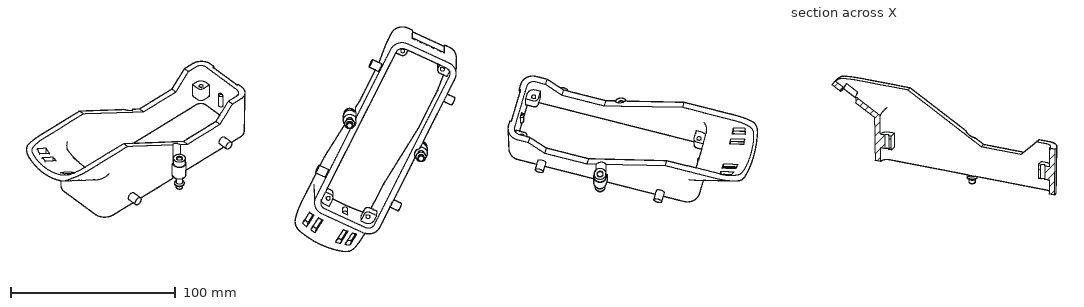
import cadquery as cq
import math

half_width = 21.7
half_length = 60.5
wall = 3.6
corner_radius = 7.7
end_draft = 1.0
inner_draft = 0.5
crease_z = 9.2
top_z = 49.1
low_rim_z = 31.0
saddle_z = 20.6
saddle_back_y = 35.5
saddle_front_y = 8.9

hood_angle = 30.0
tip_y = -90.1
tip_z = 43.1
hood_length = 45.2
hood_depth = 33.1
belly_radius = 39.5
belly_half_width = 13.9
inner_belly_half_width = 13.4
lip_radius = 5.1

slot_width = 3.0
slot_offsets = (8.5, 14.5)
slot_back_y = -73.0
slot_end_gap = 6.8
slot_height = 18.1

peg_radius = 2.5
peg_y = 37.4
peg_z = 6.3
peg_reach = 27.9

post_x = 24.1
sleeve_radius = 3.9
sleeve_bottom_z = 2.5
sleeve_top_z = 12.2
collar_radius = 3.6
collar_top_z = 16.3
socket_radius = 1.8
socket_depth = 0.9
rod_radius = 2.0
rod_bottom_z = -7.8
rod_chamfer = 0.38
bead_radius = 3.0
bead_z = -4.2
bead_flat = 0.5
bead_height = 2.1

boss_inner_x = 10.7
boss_inner_y = 49.1
boss_height = 9.3
boss_radius = 2.4
screw_x = 13.4
screw_y = 52.1
screw_radius = 1.2

rib_radius = 1.7
rib_chamfer = 0.9

recess_width = 21.7
recess_depth = 0.9
recess_height = 15.0

foot_half_length = half_length - low_rim_z * math.tan(math.radians(end_draft))
embed = wall / 2


def cylinder(radius, x, y, bottom, top):
    return cq.Workplane("XY", origin=(x, y, bottom)).circle(radius).extrude(top - bottom)


def side_prism(points, reach):
    """Prism of a Y-Z outline, spanning X from -reach to +reach."""
    return cq.Workplane("YZ").polyline(points).close().extrude(reach, both=True)


def frame_block():
    flare = top_z * math.tan(math.radians(end_draft))
    outline = [
        (-foot_half_length, 0),
        (foot_half_length, 0),
        (foot_half_length + flare, top_z),
        (-foot_half_length - flare, top_z),
    ]
    upright_edges = "(not |X) and (not |Y)"
    return side_prism(outline, half_width).edges(upright_edges).fillet(corner_radius)


def frame_cavity():
    """Straight below the crease, opening slightly above it."""
    flare = (low_rim_z - crease_z) * math.tan(math.radians(inner_draft))
    width = 2 * (half_width - wall - flare)
    length = 2 * (foot_half_length - wall)
    inner_radius = corner_radius - wall
    lower = cq.Workplane("XY").rect(width, length).extrude(crease_z).edges("|Z").fillet(inner_radius)
    return lower.faces(">Z").wires().toPending().extrude(top_z - crease_z, taper=-inner_draft)


def hood_plane():
    """Plane square to the hood axis at its tip: local X is X, local Y points up out of the trough."""
    angle = math.radians(hood_angle)
    return cq.Plane(
        origin=(0, tip_y, tip_z),
        xDir=(1, 0, 0),
        normal=(0, -math.cos(angle), math.sin(angle)),
    )


def trough(inset, joint_x):
    """Trough inset from the outer skin, run back from the tip along the hood axis.

    Its belly arc meets the tangent shoulder arcs at X = +-joint_x.
    """
    belly = belly_radius - inset
    side = half_width - inset
    lean = math.asin(joint_x / belly)
    shoulder_radius = (side - joint_x) / (1 - math.sin(lean))
    shoulder_x = side - shoulder_radius
    shoulder_y = belly_radius - (belly - shoulder_radius) * math.cos(lean)
    mid_lean = (lean + math.pi / 2) / 2

    def on_shoulder(angle):
        return (
            shoulder_x + shoulder_radius * math.sin(angle),
            shoulder_y - shoulder_radius * math.cos(angle),
        )

    right_joint = on_shoulder(lean)
    right_mid = on_shoulder(mid_lean)
    section = (
        cq.Workplane(hood_plane())
        .moveTo(-side, hood_depth)
        .lineTo(-side, shoulder_y)
        .threePointArc((-right_mid[0], right_mid[1]), (-right_joint[0], right_joint[1]))
        .threePointArc((0, inset), right_joint)
        .threePointArc(right_mid, (side, shoulder_y))
        .lineTo(side, hood_depth)
        .close()
    )
    return section.extrude(-hood_length)


def rim_envelope():
    """Side outline of the whole shell, with the hood end cut square to the hood axis."""
    back_y = half_length + wall
    ramp_y = saddle_front_y - (top_z - saddle_z) / math.tan(math.radians(hood_angle))
    step_y = saddle_back_y + (low_rim_z - saddle_z)
    lip_y = tip_y + (top_z - tip_z) * math.tan(math.radians(hood_angle))
    outline = [
        (tip_y, 0),
        (back_y, 0),
        (back_y, low_rim_z),
        (step_y, low_rim_z),
        (saddle_back_y, saddle_z),
        (saddle_front_y, saddle_z),
        (ramp_y, top_z),
        (lip_y, top_z),
        (tip_y, tip_z),
    ]
    lip = cq.selectors.NearestToPointSelector((0, lip_y, top_z))
    return side_prism(outline, half_width).edges("|X").edges(lip).fillet(lip_radius)


def vent_slots():
    """Slots with an upright back end and a front end square to the hood."""
    angle = math.radians(hood_angle)
    end_y = tip_y + slot_end_gap * math.cos(angle)
    end_z = tip_z - slot_end_gap * math.sin(angle)
    rise = slot_height / 2
    lean = rise * math.tan(angle)
    outline = [
        (slot_back_y, end_z - rise),
        (end_y - lean, end_z - rise),
        (end_y + lean, end_z + rise),
        (slot_back_y, end_z + rise),
    ]
    cutter = side_prism(outline, slot_width / 2)
    slots = cq.Workplane("XY")
    for offset in slot_offsets:
        for side in (-1, 1):
            slots = slots.add(cutter.translate((side * offset, 0, 0)))
    return slots.combine()


def rim_recess():
    cutter = cq.Workplane("XY").box(recess_width, 2 * recess_depth, 2 * recess_height)
    return cutter.translate((0, half_length, low_rim_z))


def post(side):
    """Socketed sleeve bridged to the frame, on a thin rod with a bead near its foot."""
    x = side * post_x
    sleeve = cylinder(sleeve_radius, x, 0, sleeve_bottom_z, sleeve_top_z)
    bridge_length = post_x - half_width
    bridge_x = side * (half_width + bridge_length / 2)
    bridge = (
        cq.Workplane("XY", origin=(bridge_x, 0, sleeve_bottom_z))
        .rect(bridge_length, 2 * sleeve_radius)
        .extrude(sleeve_top_z - sleeve_bottom_z)
    )
    collar = cylinder(collar_radius, x, 0, sleeve_top_z, collar_top_z)
    socket = cylinder(socket_radius, x, 0, collar_top_z - socket_depth, collar_top_z)
    rod = cylinder(rod_radius, x, 0, rod_bottom_z, sleeve_bottom_z).faces("<Z").chamfer(rod_chamfer)
    bead = (
        cq.Workplane("XZ")
        .polyline([
            (0, bead_z - bead_height / 2),
            (rod_radius, bead_z - bead_height / 2),
            (bead_radius, bead_z - bead_flat / 2),
            (bead_radius, bead_z + bead_flat / 2),
            (rod_radius, bead_z + bead_height / 2),
            (0, bead_z + bead_height / 2),
        ])
        .close()
        .revolve(360, (0, 0), (0, 1))
        .translate((x, 0, 0))
    )
    return sleeve.union(bridge).union(collar).union(rod).union(bead).cut(socket)


def boss(side, end):
    """Drilled corner block reaching into the walls, rounded at its free corner."""
    size_x = half_width - embed - boss_inner_x
    size_y = foot_half_length - embed - boss_inner_y
    block = (
        cq.Workplane("XY")
        .rect(size_x, size_y)
        .extrude(boss_height)
        .edges("|Z and <X and <Y")
        .fillet(boss_radius)
        .translate((boss_inner_x + size_x / 2, boss_inner_y + size_y / 2, crease_z))
    )
    hole = cylinder(screw_radius, screw_x, screw_y, crease_z, crease_z + boss_height)
    corner = block.intersect(frame_block()).cut(hole)
    if side < 0:
        corner = corner.mirror("YZ")
    if end < 0:
        corner = corner.mirror("XZ")
    return corner


def rib(end):
    y = end * (foot_half_length - wall)
    return cylinder(rib_radius, 0, y, crease_z, crease_z + boss_height).faces(">Z").chamfer(rib_chamfer)


def peg(side, end):
    length = peg_reach - half_width + embed
    start_x = side * (half_width - embed)
    return (
        cq.Workplane("YZ", origin=(start_x, end * peg_y, peg_z))
        .circle(peg_radius)
        .extrude(side * length)
    )


shell = frame_block().union(trough(0, belly_half_width)).intersect(rim_envelope())
shell = shell.cut(frame_cavity()).cut(trough(wall, inner_belly_half_width))
shell = shell.cut(vent_slots()).cut(rim_recess())

for side in (-1, 1):
    shell = shell.cut(cylinder(sleeve_radius, side * post_x, 0, 0, top_z))
    shell = shell.union(post(side))

for end in (-1, 1):
    shell = shell.union(rib(end))
    for side in (-1, 1):
        shell = shell.union(peg(side, end)).union(boss(side, end))

result = shell